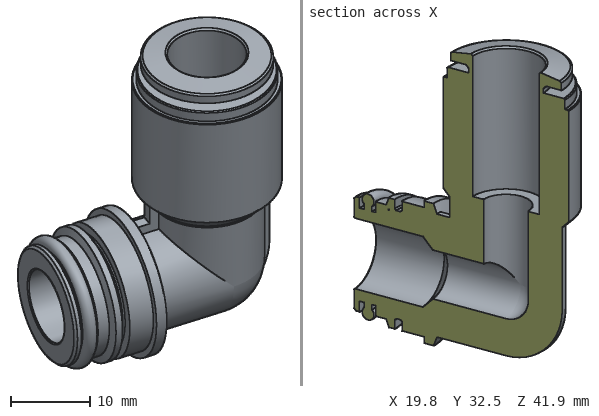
import cadquery as cq
import math


height = 41.9
depth = 32.5
flange_radius = 19.75 / 2
body_radius = 19.0 / 2
top_z = height - flange_radius
plug_reach = depth - body_radius

neck_radius = 7.3
bore_radius = 6.7 / 2
rib_reach = 8.55
rib_width = 1.5

body_bottom_z = 12.3
body_top_z = 27.8
body_chamfer = 0.13
lip_radius = 7.35
lip_height = 0.25
lip_z = body_bottom_z - (body_radius - lip_radius)
cap_radius = 17.9 / 2
cap_top_z = 29.27
cap_chamfer = 0.15
ring_radius = 16.8 / 2
ring_bottom_z = 30.25
ring_top_z = 31.33
ring_bevel_radius = 8.12
ring_bevel_z = 31.55
ring_neck_radius = 11.4 / 2
ring_neck_flare = 0.38
socket_radius = 10.0 / 2
socket_chamfer = 0.25
socket_floor_z = body_bottom_z

flange_cone_start = 9.93
flange_start = 10.95
flange_end = 12.4
collar_radius = 18.0 / 2
collar_end = 15.75
clip_groove_radius = 15.05 / 2
clip_groove_corner = 0.2
clip_groove_end = 16.8
land_bevel_start = 17.7
land_bevel_end = 18.15
tip_radius = 15.9 / 2
seal_groove_radius = 13.0 / 2
seal_groove_start = 19.73
seal_groove_end = 22.1
tip_chamfer = 0.35
seal_section_radius = 0.92
seal_outer_radius = 8.75
seal_center = 20.85
seal_seat_width = 1.25
plug_bore_radius = 9.7 / 2
plug_bore_chamfer = 0.15
plug_bore_end = 12.55


def turned_upright(profile):
    """Solid of revolution about Z from (radius, height) points."""
    return cq.Workplane("XZ").polyline(profile).close().revolve(360, (0, 0, 0), (0, 1, 0))


def turned_plug(profile):
    """Solid of revolution about Y from (radius, distance toward -Y) points."""
    points = [(radius, -distance) for radius, distance in profile]
    return cq.Workplane("XY").polyline(points).close().revolve(360, (0, 0, 0), (0, 1, 0))


def elbow(radius, upper_end, front_end):
    """Round elbow with a ball corner, running up Z and out along -Y."""
    upright = cq.Workplane("XY").circle(radius).extrude(upper_end)
    level = cq.Workplane("XZ").circle(radius).extrude(front_end)
    return cq.Workplane("XY").sphere(radius).union(upright).union(level)


def rib():
    """Central web around the elbow, rounded about the origin at its rear corner."""
    rib_top = body_bottom_z
    corner_middle = rib_reach * math.sqrt(0.5)
    return (
        cq.Workplane("YZ")
        .moveTo(-flange_start, -rib_reach)
        .lineTo(0, -rib_reach)
        .threePointArc((corner_middle, -corner_middle), (rib_reach, 0))
        .lineTo(rib_reach, rib_top)
        .lineTo(-rib_reach, rib_top)
        .lineTo(-rib_reach, rib_reach)
        .lineTo(-flange_start, rib_reach)
        .close()
        .extrude(rib_width / 2, both=True)
    )


def tube_socket():
    """Body, cap and release ring."""
    return turned_upright([
        (0, lip_z - lip_height),
        (lip_radius, lip_z - lip_height),
        (lip_radius, lip_z),
        (body_radius, body_bottom_z),
        (body_radius, body_top_z - body_chamfer),
        (body_radius - body_chamfer, body_top_z),
        (cap_radius, body_top_z),
        (cap_radius, cap_top_z - cap_chamfer),
        (cap_radius - cap_chamfer, cap_top_z),
        (ring_neck_radius, cap_top_z),
        (ring_neck_radius, ring_bottom_z - ring_neck_flare),
        (ring_neck_radius + ring_neck_flare, ring_bottom_z),
        (ring_radius, ring_bottom_z),
        (ring_radius, ring_top_z),
        (ring_bevel_radius, ring_bevel_z),
        (socket_radius + socket_chamfer, top_z),
        (0, top_z),
    ])


def plug():
    """Flange, collar, clip groove, seal groove and tip.

    A narrow seat in the seal groove carries the sealing ring.
    """
    seat_radius = seal_outer_radius - seal_section_radius
    seat_start = seal_center - seal_seat_width / 2
    seat_end = seal_center + seal_seat_width / 2
    return turned_plug([
        (0, flange_cone_start),
        (neck_radius, flange_cone_start),
        (flange_radius, flange_start),
        (flange_radius, flange_end),
        (collar_radius, flange_end),
        (collar_radius, collar_end),
        (clip_groove_radius + clip_groove_corner, collar_end),
        (clip_groove_radius, collar_end + clip_groove_corner),
        (clip_groove_radius, clip_groove_end - clip_groove_corner),
        (clip_groove_radius + clip_groove_corner, clip_groove_end),
        (collar_radius, clip_groove_end),
        (collar_radius, land_bevel_start),
        (tip_radius, land_bevel_end),
        (tip_radius, seal_groove_start),
        (seal_groove_radius, seal_groove_start),
        (seal_groove_radius, seat_start),
        (seat_radius, seat_start),
        (seat_radius, seat_end),
        (seal_groove_radius, seat_end),
        (seal_groove_radius, seal_groove_end),
        (tip_radius, seal_groove_end),
        (tip_radius, plug_reach - tip_chamfer),
        (tip_radius - tip_chamfer, plug_reach),
        (0, plug_reach),
    ])


def seal_ring():
    """Round-section sealing ring seated in the plug groove."""
    section_center = seal_outer_radius - seal_section_radius
    return (
        cq.Workplane("XY")
        .moveTo(section_center, -seal_center)
        .circle(seal_section_radius)
        .revolve(360, (0, 0, 0), (0, 1, 0))
    )


def socket_bore():
    """Flat-bottomed tube bore with a chamfered mouth."""
    return turned_upright([
        (0, socket_floor_z),
        (socket_radius, socket_floor_z),
        (socket_radius, top_z - socket_chamfer),
        (socket_radius + socket_chamfer, top_z),
        (0, top_z),
    ])


def plug_bore():
    """Bore with a chamfered mouth, tapering at 45 degrees down to the elbow passage."""
    taper_length = plug_bore_radius - bore_radius
    return turned_plug([
        (0, plug_bore_end - taper_length),
        (bore_radius, plug_bore_end - taper_length),
        (plug_bore_radius, plug_bore_end),
        (plug_bore_radius, plug_reach - plug_bore_chamfer),
        (plug_bore_radius + plug_bore_chamfer, plug_reach),
        (0, plug_reach),
    ])


outside = (
    elbow(neck_radius, body_bottom_z, flange_start)
    .union(rib())
    .union(tube_socket())
    .union(plug())
    .union(seal_ring())
)
passage = elbow(bore_radius, socket_floor_z, plug_bore_end)

result = outside.cut(passage).cut(socket_bore()).cut(plug_bore())